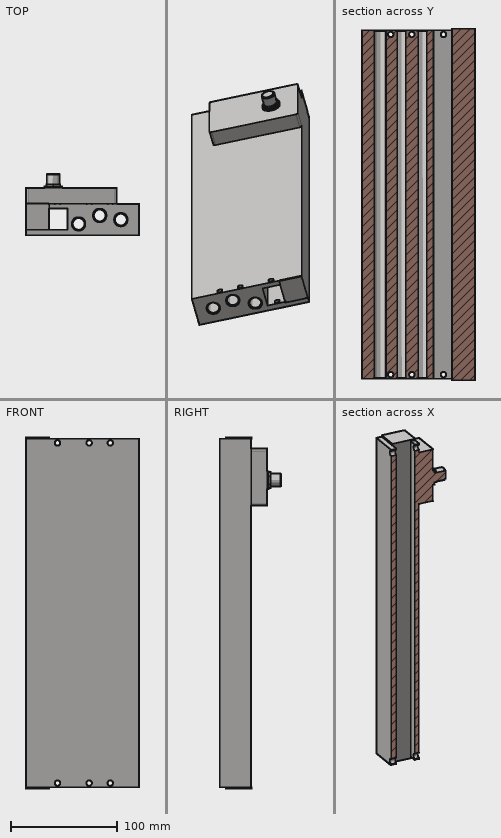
import cadquery as cq

body_width = 106.5
body_depth = 29.8
total_height = 331.0
cap_thickness = 1.5
body_height = total_height - 2 * cap_thickness
body_bottom = cap_thickness
body_top = total_height - cap_thickness

channel_right = 39.0
channel_front = 5.5
channel_back = 25.0

cap_width = 22.0
cap_back = 30.0
cap_chamfer = 1.0

passage_centers = [(49.5, 11.0), (69.5, 19.0), (89.5, 15.0)]
passage_diameter = 11.0
mouth_chamfer = 1.0

cross_hole_xs = [29.8, 59.5, 79.5]
cross_hole_diameter = 5.0
cross_hole_inset = 4.0

box_width = 85.7
box_depth = 15.0
box_height = 54.0
box_bottom = 266.5
box_fillet = 2.0
box_back = body_depth + box_depth

connector_x = 25.8
connector_z = 290.5
flange_diameter = 17.0
flange_length = 1.5
collar_corner_diameter = 15.2
collar_length = 2.0
plug_diameter = 12.5
plug_chamfer = 1.0
total_depth = 58.3
plug_length = total_depth - box_back - flange_length - collar_length


def block(x_size, y_size, z_size, corner):
    """Box with its lowest corner at the given point."""
    return cq.Workplane("XY").box(x_size, y_size, z_size, centered=False).translate(corner)


def y_cylinder(diameter, length, x, y, z):
    """Cylinder running toward +Y from the given point."""
    return cq.Workplane("XZ", origin=(x, y, z)).circle(diameter / 2).extrude(-length)


def passage(x, y):
    """Cutting tool for one round passage, flared at both mouths."""
    radius = passage_diameter / 2
    mouth_radius = radius + mouth_chamfer
    outline = [
        (0, body_bottom),
        (mouth_radius, body_bottom),
        (radius, body_bottom + mouth_chamfer),
        (radius, body_top - mouth_chamfer),
        (mouth_radius, body_top),
        (0, body_top),
    ]
    tool = cq.Workplane("XZ").polyline(outline).close().revolve(360, (0, 0), (0, 1))
    return tool.translate((x, y, 0))


def make_body():
    body = block(body_width, body_depth, body_height, (0, 0, body_bottom))
    channel = block(channel_right - cap_width, channel_back - channel_front, total_height,
                    (cap_width, channel_front, 0))
    body = body.cut(channel)
    for x, y in passage_centers:
        body = body.cut(passage(x, y))
    for z in (body_bottom + cross_hole_inset, body_top - cross_hole_inset):
        for x in cross_hole_xs:
            body = body.cut(y_cylinder(cross_hole_diameter, body_depth, x, 0, z))
    return body


def make_cap(bottom):
    cap = block(cap_width, cap_back - channel_front, cap_thickness, (0, channel_front, bottom))
    return cap.edges("|Z and >X and >Y").chamfer(cap_chamfer)


def make_terminal_box():
    box = block(box_width, box_depth, box_height, (0, body_depth, box_bottom))
    return box.edges("|Y").fillet(box_fillet)


def make_connector():
    collar_start = box_back + flange_length
    plug_start = collar_start + collar_length
    flange = y_cylinder(flange_diameter, flange_length, connector_x, box_back, connector_z)
    collar = cq.Workplane("XZ").polygon(6, collar_corner_diameter).extrude(-collar_length)
    collar = collar.rotate((0, 0, 0), (0, 1, 0), 90).translate((connector_x, collar_start, connector_z))
    plug = y_cylinder(plug_diameter, plug_length, connector_x, plug_start, connector_z)
    plug = plug.faces(">Y").chamfer(plug_chamfer)
    return flange.union(collar).union(plug)


result = (
    make_body()
    .union(make_cap(0))
    .union(make_cap(body_top))
    .union(make_terminal_box())
    .union(make_connector())
)